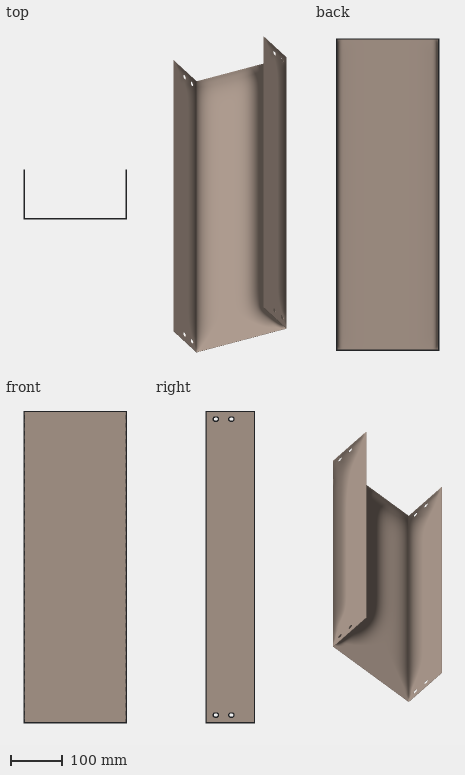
import cadquery as cq

width = 197.5
depth = 94.35
height = 600.0

sheet_thickness = 0.75
inner_bend_radius = 0.25
outer_bend_radius = inner_bend_radius + sheet_thickness

slot_length = 10.0
slot_height = 8.0
slot_end_inset = 15.0
front_slot_from_rear = 75.0
slot_pitch = 30.0


def front_rounded_block(block_width, bend_radius):
    """Full-depth block with its two front vertical edges rounded."""
    block = cq.Workplane("XY").box(block_width, depth, height)
    return block.edges("|Z and <Y").fillet(bend_radius)


def channel():
    """U-section sheet, open towards +Y, bent along the two front edges."""
    outer = front_rounded_block(width, outer_bend_radius)
    inner = front_rounded_block(width - 2 * sheet_thickness, inner_bend_radius)
    return outer.cut(inner.translate((0, sheet_thickness, 0)))


def flange_slots():
    """Cutters that pass through both flanges near the top and bottom ends."""
    rear_y = depth / 2
    front_slot_y = rear_y - front_slot_from_rear
    slot_z = height / 2 - slot_end_inset
    centres = [
        (y, z)
        for y in (front_slot_y, front_slot_y + slot_pitch)
        for z in (-slot_z, slot_z)
    ]
    return (
        cq.Workplane("YZ")
        .pushPoints(centres)
        .slot2D(slot_length, slot_height)
        .extrude(width, both=True)
    )


result = channel().cut(flange_slots())